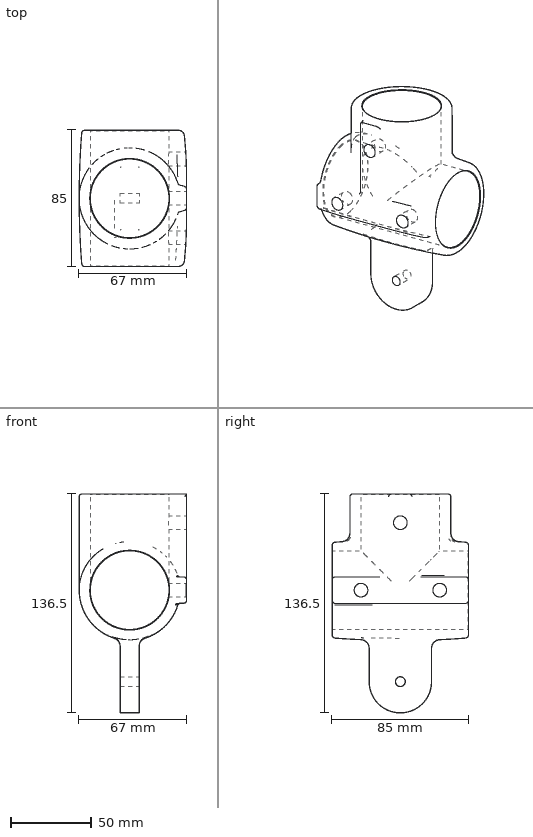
import cadquery as cq
import math

SLEEVE_RADIUS = 31.5
BARREL_END_RADIUS = 29.8
BARREL_HALF_LENGTH = 42.5
UPRIGHT_TOP = 60.0
BORE_RADIUS = 24.5
BORE_CHAMFER = 0.4
RIM_FILLET = 2.0
SEAM_FILLET = 5.0
SEAM_GAP_HALF_WIDTH = 0.3
SEAM_GAP_BOTTOM = -1.0
SEAM_GAP_TOP = 2 * SEAM_GAP_HALF_WIDTH

RIB_HEIGHT = 4.0
RIB_TIP_X = SLEEVE_RADIUS + RIB_HEIGHT
RIB_END_X = BARREL_END_RADIUS + RIB_HEIGHT
RIB_BASE_X = 26.5
BARREL_RIB_HALF_WIDTH = 8.25
BARREL_RIB_FLAT_HALF_LENGTH = 13.0
BARREL_RIB_CORNER_RADIUS = 4.0
UPRIGHT_RIB_TIP_HALF_WIDTH = 7.1
UPRIGHT_RIB_FLANK_ANGLE = 16.0
RIB_ROOT_FILLET = 1.25
SCREW_HOLE_RADIUS = 4.25
SCREW_HOLE_FROM_END = 18.0

LUG_THICKNESS = 12.0
LUG_END_RADIUS = 19.5
LUG_HOLE_Z = -57.0
LUG_HOLE_RADIUS = 3.0
LUG_TOP = -28.0
LUG_ROOT_FILLET = 5.0
LUG_EDGE_FILLET = 0.5

TOLERANCE = 0.1


def edges_where(body, test):
    """The edges of body whose bounding box and centre pass the test."""
    picked = [edge for edge in body.edges().vals() if test(edge.BoundingBox(), edge.Center())]
    return body.newObject(picked)


def barrel():
    return (
        cq.Workplane("XY")
        .moveTo(0, -BARREL_HALF_LENGTH)
        .lineTo(BARREL_END_RADIUS, -BARREL_HALF_LENGTH)
        .threePointArc((SLEEVE_RADIUS, 0), (BARREL_END_RADIUS, BARREL_HALF_LENGTH))
        .lineTo(0, BARREL_HALF_LENGTH)
        .close()
        .revolve(360, (0, 0, 0), (0, 1, 0))
    )


def sleeves():
    """Both solid sleeves with the seam between them rounded."""
    upright = cq.Workplane("XY").circle(SLEEVE_RADIUS).extrude(UPRIGHT_TOP)
    body = barrel().union(upright)
    gap = (
        cq.Workplane("XY", origin=(0, 0, SEAM_GAP_BOTTOM))
        .rect(3 * SLEEVE_RADIUS, 2 * SEAM_GAP_HALF_WIDTH)
        .extrude(SEAM_GAP_TOP - SEAM_GAP_BOTTOM)
    )
    plug = body.intersect(gap)
    split = body.cut(gap)
    seams = edges_where(
        split,
        lambda box, centre: box.xlen > SLEEVE_RADIUS and box.ylen > TOLERANCE and box.zlen > TOLERANCE
        and centre.z > SEAM_FILLET,
    )
    return seams.fillet(SEAM_FILLET).union(plug)


def barrel_rib():
    """Rib with a tip that is straight in the middle and bends in tangentially to both ends."""
    sag = RIB_TIP_X - RIB_END_X
    bend_length = BARREL_HALF_LENGTH - BARREL_RIB_FLAT_HALF_LENGTH
    bend_radius = (sag**2 + bend_length**2) / (2 * sag)
    half_angle = math.asin(bend_length / bend_radius) / 2
    mid_x = RIB_TIP_X - bend_radius * (1 - math.cos(half_angle))
    mid_y = BARREL_RIB_FLAT_HALF_LENGTH + bend_radius * math.sin(half_angle)
    rib = (
        cq.Workplane("XY")
        .moveTo(RIB_BASE_X, -BARREL_HALF_LENGTH)
        .lineTo(RIB_END_X, -BARREL_HALF_LENGTH)
        .threePointArc((mid_x, -mid_y), (RIB_TIP_X, -BARREL_RIB_FLAT_HALF_LENGTH))
        .lineTo(RIB_TIP_X, BARREL_RIB_FLAT_HALF_LENGTH)
        .threePointArc((mid_x, mid_y), (RIB_END_X, BARREL_HALF_LENGTH))
        .lineTo(RIB_BASE_X, BARREL_HALF_LENGTH)
        .close()
        .extrude(BARREL_RIB_HALF_WIDTH, both=True)
    )
    corners = edges_where(
        rib,
        lambda box, centre: abs(centre.x - RIB_END_X) < TOLERANCE and box.ylen < TOLERANCE,
    )
    return corners.fillet(BARREL_RIB_CORNER_RADIUS)


def upright_rib():
    """Rib of trapezoid section, narrowing to its tip."""
    tip = UPRIGHT_RIB_TIP_HALF_WIDTH
    base = tip + (RIB_TIP_X - RIB_BASE_X) * math.tan(math.radians(UPRIGHT_RIB_FLANK_ANGLE))
    return (
        cq.Workplane("XY")
        .polyline([(RIB_BASE_X, -base), (RIB_TIP_X, -tip), (RIB_TIP_X, tip), (RIB_BASE_X, base)])
        .close()
        .extrude(UPRIGHT_TOP)
    )


def ribs():
    """Both ribs with the two corners between them rounded."""
    body = barrel_rib().union(upright_rib())
    corners = edges_where(
        body,
        lambda box, centre: abs(centre.z - BARREL_RIB_HALF_WIDTH) < TOLERANCE
        and abs(centre.y) < BARREL_RIB_FLAT_HALF_LENGTH
        and box.xlen > RIB_HEIGHT,
    )
    return corners.fillet(SEAM_FILLET)


def round_rib_roots(body):
    roots = edges_where(
        body,
        lambda box, centre: RIB_BASE_X < box.xmin and box.xmax < SLEEVE_RADIUS - 1
        and abs(centre.y) < BARREL_HALF_LENGTH - 1
        and box.ylen + box.zlen > 1,
    )
    return roots.fillet(RIB_ROOT_FILLET)


def round_rims(body):
    """Round the sleeve rims and the long rib edges that continue them."""

    def is_rim(box, centre):
        on_top = box.zmin > UPRIGHT_TOP - TOLERANCE and centre.x < RIB_TIP_X - TOLERANCE
        on_end = abs(centre.y) > BARREL_HALF_LENGTH - TOLERANCE and box.xlen > SLEEVE_RADIUS
        on_tip = box.xmin > RIB_TIP_X - TOLERANCE and box.zlen > SLEEVE_RADIUS
        return on_top or on_end or on_tip

    return edges_where(body, is_rim).fillet(RIM_FILLET)


def add_lug(body):
    lug = (
        cq.Workplane("YZ")
        .moveTo(-LUG_END_RADIUS, LUG_TOP)
        .lineTo(-LUG_END_RADIUS, LUG_HOLE_Z)
        .threePointArc((0, LUG_HOLE_Z - LUG_END_RADIUS), (LUG_END_RADIUS, LUG_HOLE_Z))
        .lineTo(LUG_END_RADIUS, LUG_TOP)
        .close()
        .extrude(LUG_THICKNESS / 2, both=True)
    )
    body = body.union(lug)
    roots = edges_where(
        body,
        lambda box, centre: -SLEEVE_RADIUS < box.zmin and box.zmax < LUG_TOP
        and abs(centre.x) < LUG_THICKNESS and abs(centre.y) < LUG_END_RADIUS + TOLERANCE,
    )
    body = roots.fillet(LUG_ROOT_FILLET)
    outline = edges_where(
        body,
        lambda box, centre: box.zmax < -SLEEVE_RADIUS and box.xlen < TOLERANCE
        and box.zlen > LUG_END_RADIUS / 2,
    )
    return outline.fillet(LUG_EDGE_FILLET)


def cylinder_x(radius, start_x, length, y, z):
    return cq.Workplane("YZ", origin=(start_x, y, z)).circle(radius).extrude(length)


def bore(depth):
    """Cutter along Z from the origin to a chamfered mouth at the given depth."""
    mouth_radius = BORE_RADIUS + BORE_CHAMFER
    return (
        cq.Workplane("XZ")
        .polyline(
            [
                (0, 0),
                (-BORE_RADIUS, 0),
                (-BORE_RADIUS, depth - BORE_CHAMFER),
                (-mouth_radius, depth),
                (0, depth),
            ]
        )
        .close()
        .revolve(360, (0, 0, 0), (0, 1, 0))
    )


def cut_bores(body):
    """Cut a bore right through the barrel, and one down the upright into it."""
    for angle in (-90, 90):
        half_bore = bore(BARREL_HALF_LENGTH).rotate((0, 0, 0), (0, 0, 1), -angle)
        body = body.cut(half_bore.rotate((0, 0, 0), (1, 0, 0), angle))
    return body.cut(bore(UPRIGHT_TOP))


def cut_holes(body):
    """Cut the set-screw holes through the ribs and the hole through the lug."""
    barrel_hole_y = BARREL_HALF_LENGTH - SCREW_HOLE_FROM_END
    upright_hole_z = UPRIGHT_TOP - SCREW_HOLE_FROM_END
    for y, z in [(0, upright_hole_z), (-barrel_hole_y, 0), (barrel_hole_y, 0)]:
        body = body.cut(cylinder_x(SCREW_HOLE_RADIUS, 0, 2 * RIB_TIP_X, y, z))
    return body.cut(cylinder_x(LUG_HOLE_RADIUS, -LUG_THICKNESS, 2 * LUG_THICKNESS, 0, LUG_HOLE_Z))


body = sleeves().union(ribs())
body = round_rib_roots(body)
body = round_rims(body)
body = add_lug(body)
body = cut_bores(body)
result = cut_holes(body)